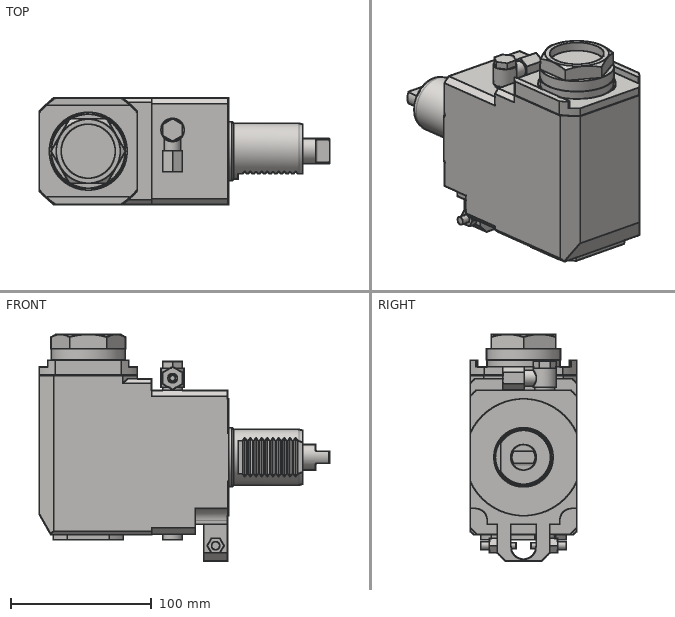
import cadquery as cq
import math


width = 76.0
half_width = width / 2
head_half = 35.0
corner_length = 10.4
corner_depth = 9.7
head_top = 58.2
step_end = 45.1
step_top = 55.9
step_chamfer = 3.3
block_end = 99.2
block_top = 47.6
block_top_chamfer = 4.1
head_bottom = -55.3
head_bottom_chamfer = 2.7
block_bottom = -54.9
block_bottom_chamfer = 4.8
nose_height = 15.0
nose_length = 8.5
end_pad_radius = 41.6
end_pad_height = 0.8

relief_start = 76.2
relief_top = -36.5
relief_radius = 8.3
web_half_width = 25.9
web_bottom = -47.8
lug_start = 82.2
lug_half_width = 18.8
lug_bottom = -74.0
lug_chamfer = 6.0
slot_radius = 9.0
slot_center_z = -63.5
screw_z = -63.0
screw_x = (lug_start + block_end) / 2
screw_nut_flats = 10.4
screw_nut_end = 24.2
screw_radius = 3.0
screw_end = 30.5
screw_tip_radius = 2.3
screw_tip_y = 5.2

cover_radius = 34.0
cover_length = 49.9
cover_width = 60.9
cover_bottom = -58.8
plug_radius = 7.0

shank_radius = 40.0 / 2
shank_end = 152.8
shank_lead_length = 3.1
shank_lead_depth = 0.8
collar_radius = 21.1
collar_end = 102.3
collar_taper_end = 103.5
rack_start = 106.6
rack_face = 16.1
groove_count = 10
first_groove = 111.4
last_groove = 147.5
groove_width = 3.1
groove_depth = 1.7
tang_radius = 9.1
tang_shoulder = 161.9
tang_end = 172.0
tang_thickness = 8.7
tang_root_fillet = 0.8
tang_chamfer = 0.8

fitting_x = 60.0
fitting_y = 15.1
fitting_foot_radius = 7.0
fitting_radius = 8.3
fitting_foot_top = 49.7
fitting_body_top = 63.5
fitting_top = 68.3
fitting_flats = 14.0
pipe_z = 56.3
pipe_radius = 5.8
pipe_nut_back = 0.5
pipe_nut_front = -14.7
pipe_bore_radius = 3.3
pipe_inner_radius = 2.0

plate_radius = 44.7
plate_top = 64.4
rail_top = 69.1
rail_half_length = 29.0
rail_width = 5.4
seam_chamfer = 0.5
groove_ring_radius = 27.7
groove_ring_depth = 1.0
neck_radius = 26.0
ring_radius = 26.5
ring_bottom = rail_top
ring_top = 77.5
nut_top = 87.5
nut_flats = 46.0
nut_chamfer_radius = 22.8
nut_chamfer_height = 2.0
recess_radius = 19.3
recess_depth = 6.2


def box(x0, x1, half_y, z0, z1):
    """Box between two X and two Z positions, symmetric about the XZ plane."""
    return cq.Workplane("XY").box(x1 - x0, 2 * half_y, z1 - z0).translate(((x0 + x1) / 2, 0, (z0 + z1) / 2))


def hexagon_diameter(across_flats):
    """Corner-to-corner size of a hexagon."""
    return across_flats / math.cos(math.radians(30))


def post(x, y, z0, z1, radius):
    """Upright cylinder."""
    return cq.Workplane("XY", origin=(x, y, z0)).circle(radius).extrude(z1 - z0)


def along_y(x, z, y0, y1):
    """Workplane at y0 facing -Y, with the extrusion length that reaches down to y1."""
    return cq.Workplane("XZ", origin=(x, y0, z)), y0 - y1


def make_head():
    quarter = [(head_half - corner_length, half_width), (head_half, half_width - corner_depth)]
    right_side = quarter + [(x, -y) for x, y in reversed(quarter)]
    left_side = [(-x, -y) for x, y in right_side]
    outline = cq.Workplane("XY", origin=(0, 0, head_bottom)).polyline(right_side + left_side).close()
    return outline.extrude(head_top - head_bottom)


def make_rear():
    step = box(0, step_end, half_width, 0, step_top)
    step = step.faces(">Z").edges("|X").chamfer(step_chamfer)
    step_base = box(0, step_end, half_width, head_bottom, 0)
    step_base = step_base.faces("<Z").edges("|X").chamfer(head_bottom_chamfer)
    block_upper = box(0, block_end, half_width, 0, block_top)
    block_upper = block_upper.faces(">Z").edges("|X").chamfer(block_top_chamfer)
    block_lower = box(step_end, block_end, half_width, block_bottom, 0)
    block_lower = block_lower.faces("<Z").edges("|X").chamfer(block_bottom_chamfer)
    return step.union(step_base).union(block_upper).union(block_lower)


def cut_lower_edges(body):
    """Slope the lower front edge and chamfer the lower side edges of the head."""
    nose = (
        cq.Workplane("XZ")
        .moveTo(-head_half, head_bottom)
        .lineTo(-head_half + nose_length, head_bottom)
        .lineTo(-head_half, head_bottom + nose_height)
        .close()
        .extrude(half_width, both=True)
    )
    body = body.cut(nose)
    for side in (-1, 1):
        edge = (
            cq.Workplane("YZ", origin=(-head_half, 0, 0))
            .moveTo(side * half_width, head_bottom)
            .lineTo(side * (half_width - head_bottom_chamfer), head_bottom)
            .lineTo(side * half_width, head_bottom + head_bottom_chamfer)
            .close()
            .extrude(head_half + step_end)
        )
        body = body.cut(edge)
    return body


def make_end_pad():
    pad = cq.Workplane("YZ", origin=(block_end, 0, 0)).circle(end_pad_radius).extrude(end_pad_height)
    return pad.intersect(box(block_end, block_end + end_pad_height, half_width, -end_pad_radius, end_pad_radius))


def cut_relief(body):
    """Clear the rear underside on both sides of a central web, with a round inner corner."""
    length = block_end - relief_start
    arc_end = web_half_width + relief_radius
    arc_middle = relief_radius * (1 - math.sqrt(0.5))
    body = body.cut(box(relief_start, block_end, half_width, block_bottom, web_bottom))
    for side in (-1, 1):
        relief = (
            cq.Workplane("YZ", origin=(relief_start, 0, 0))
            .moveTo(side * web_half_width, web_bottom)
            .lineTo(side * web_half_width, relief_top - relief_radius)
            .threePointArc(
                (side * (web_half_width + arc_middle), relief_top - arc_middle),
                (side * arc_end, relief_top),
            )
            .lineTo(side * half_width, relief_top)
            .lineTo(side * half_width, web_bottom)
            .close()
            .extrude(length)
        )
        body = body.cut(relief)
    return body


def make_lug():
    lug = box(lug_start, block_end, lug_half_width, lug_bottom, web_bottom)
    lug = lug.faces("<Z").edges("|X").chamfer(lug_chamfer)
    slot = box(lug_start, block_end, slot_radius, slot_center_z, web_bottom)
    slot_end = cq.Workplane("YZ", origin=(lug_start, 0, slot_center_z)).circle(slot_radius)
    return lug.cut(slot).cut(slot_end.extrude(block_end - lug_start))


def make_set_screw():
    """Screw with lock nut on the -Y side of the lug, pointing into its slot."""
    plane, length = along_y(screw_x, screw_z, -screw_tip_y, -lug_half_width)
    tip = plane.circle(screw_tip_radius).extrude(length)
    plane, length = along_y(screw_x, screw_z, -lug_half_width, -screw_nut_end)
    nut = plane.polygon(6, hexagon_diameter(screw_nut_flats)).extrude(length)
    plane, length = along_y(screw_x, screw_z, -screw_nut_end, -screw_end)
    return tip.union(nut).union(plane.circle(screw_radius).extrude(length))


def make_bottom_cover():
    disc = post(0, 0, cover_bottom, head_bottom, cover_radius)
    return disc.intersect(box(-cover_length / 2, cover_length / 2, cover_width / 2, cover_bottom, head_bottom))


def make_shank():
    """Round shank with collar, lead-in taper and a toothed flat on its -Y side."""
    shank = (
        cq.Workplane("XZ")
        .moveTo(block_end, 0)
        .lineTo(block_end, collar_radius)
        .lineTo(collar_end, collar_radius)
        .lineTo(collar_taper_end, shank_radius)
        .lineTo(shank_end - shank_lead_length, shank_radius)
        .lineTo(shank_end, shank_radius - shank_lead_depth)
        .lineTo(shank_end, 0)
        .close()
        .revolve(360, (0, 0, 0), (1, 0, 0))
    )
    flat = box(rack_start, shank_end, shank_radius, -shank_radius, shank_radius)
    shank = shank.cut(flat.translate((0, -shank_radius - rack_face, 0)))
    groove_pitch = (last_groove - first_groove) / (groove_count - 1)
    for index in range(groove_count):
        center = first_groove + index * groove_pitch
        groove = (
            cq.Workplane("XY")
            .moveTo(center - groove_width / 2, -rack_face)
            .lineTo(center, -rack_face + groove_depth)
            .lineTo(center + groove_width / 2, -rack_face)
            .close()
            .extrude(shank_radius, both=True)
        )
        shank = shank.cut(groove)
    return shank


def make_tang():
    tang = cq.Workplane("YZ", origin=(shank_end, 0, 0)).circle(tang_radius).extrude(tang_end - shank_end)
    tang = tang.faces(">X").chamfer(tang_chamfer)
    flat = box(tang_shoulder, 2 * tang_end - tang_shoulder, tang_radius, tang_thickness / 2, tang_radius)
    flat = flat.faces("<Z").edges("<X").fillet(tang_root_fillet)
    return tang.cut(flat).cut(flat.mirror("XY"))


def make_fitting():
    """Upright banjo body with a hexagon cap and a side pipe ending in a union nut."""
    foot = post(fitting_x, fitting_y, block_top, fitting_foot_top, fitting_foot_radius)
    barrel = post(fitting_x, fitting_y, fitting_foot_top, fitting_body_top, fitting_radius)
    cap = (
        cq.Workplane("XY", origin=(fitting_x, fitting_y, fitting_body_top))
        .transformed(rotate=(0, 0, 90))
        .polygon(6, hexagon_diameter(fitting_flats))
        .extrude(fitting_top - fitting_body_top)
    )
    plane, length = along_y(fitting_x, pipe_z, fitting_y, pipe_nut_back)
    pipe = plane.circle(pipe_radius).extrude(length)
    plane, length = along_y(fitting_x, pipe_z, pipe_nut_back, pipe_nut_front)
    nut = plane.transformed(rotate=(0, 0, 90)).polygon(6, hexagon_diameter(fitting_flats)).extrude(length)
    bore = cq.Workplane("XZ", origin=(fitting_x, pipe_nut_back, pipe_z)).circle(pipe_bore_radius).extrude(length)
    plane, length = along_y(fitting_x, pipe_z, fitting_y, pipe_nut_back)
    inner_bore = plane.circle(pipe_inner_radius).extrude(length)
    return foot.union(barrel).union(cap).union(pipe).union(nut).cut(bore).cut(inner_bore)


def make_housing():
    body = cut_relief(cut_lower_edges(make_head().union(make_rear())))
    screw = make_set_screw()
    return (
        body.union(make_end_pad())
        .union(make_lug())
        .union(screw)
        .union(screw.mirror("XZ"))
        .union(make_bottom_cover())
        .union(post(fitting_x, fitting_y, cover_bottom, block_bottom, plug_radius))
        .union(make_shank())
        .union(make_tang())
        .union(make_fitting())
    )


def make_cover_plate():
    """Plate on the head with a raised rail along each side and a shallow groove around the neck."""
    plate = box(-head_half, head_half, half_width, head_top, plate_top)
    rails = box(-rail_half_length, rail_half_length, half_width, plate_top, rail_top)
    rail_gap = box(-rail_half_length, rail_half_length, half_width - rail_width, plate_top, rail_top)
    blank = post(0, 0, head_top, rail_top, plate_radius)
    groove = post(0, 0, plate_top - groove_ring_depth, plate_top, groove_ring_radius)
    plate = plate.union(rails.cut(rail_gap)).intersect(blank)
    return plate.faces("<Z").chamfer(seam_chamfer).cut(groove)


def make_nut():
    """Hexagon with a chamfered top rim, standing on a round collar."""
    ring = post(0, 0, ring_bottom, ring_top, ring_radius).faces("<Z").chamfer(seam_chamfer)
    corner_diameter = hexagon_diameter(nut_flats)
    hexagon = cq.Workplane("XY", origin=(0, 0, ring_top)).polygon(6, corner_diameter).extrude(nut_top - ring_top)
    envelope = post(0, 0, ring_top, nut_top, corner_diameter / 2)
    envelope = envelope.faces(">Z").chamfer(nut_chamfer_height, corner_diameter / 2 - nut_chamfer_radius)
    recess = post(0, 0, nut_top - recess_depth, nut_top, recess_radius)
    return ring.union(hexagon.intersect(envelope)).cut(recess)


def make_spindle_cartridge():
    neck = post(0, 0, head_top, ring_bottom, neck_radius)
    return make_cover_plate().union(neck).union(make_nut())


housing = make_housing()
spindle_cartridge = make_spindle_cartridge()

result = cq.Compound.makeCompound([housing.val(), spindle_cartridge.val()])